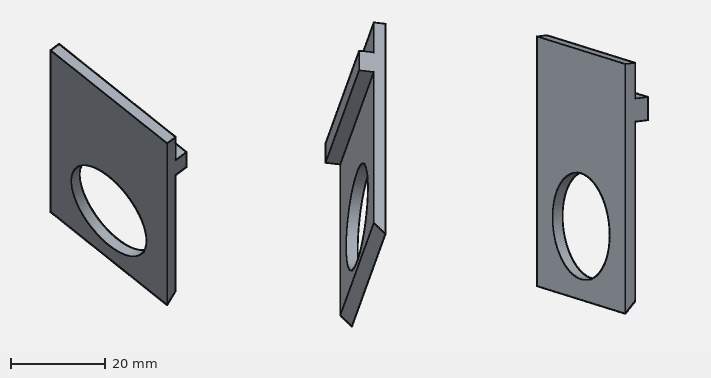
import cadquery as cq

width = 35.55
height = 54.0
plate_thickness = 2.55

total_depth = 5.7
rib_height = 5.0
rib_top_offset = 7.7

hole_diameter = 22.9
hole_center_height = 15.9

rib_top = height - rib_top_offset
rib_bottom = rib_top - rib_height

profile = [
    (0, 0),
    (plate_thickness, plate_thickness),
    (plate_thickness, rib_bottom),
    (total_depth, rib_bottom),
    (total_depth, rib_top),
    (plate_thickness, rib_top),
    (plate_thickness, height),
    (0, height),
]
body = cq.Workplane("YZ").polyline(profile).close().extrude(width / 2, both=True)

hole = (
    cq.Workplane("XZ")
    .center(0, hole_center_height)
    .circle(hole_diameter / 2)
    .extrude(-plate_thickness)
)

result = body.cut(hole)